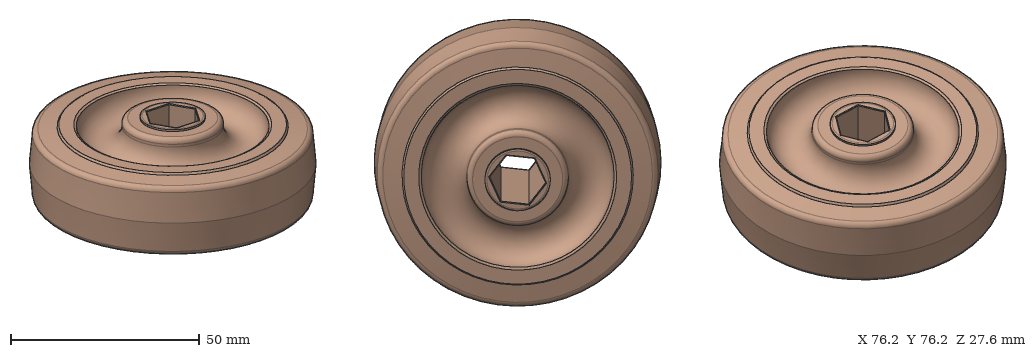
import cadquery as cq

crown_radius = 38.1
tread_edge_radius = 37.3
tread_edge_height = 8.6
shoulder_radius = 35.8
shoulder_height = 10.0
shoulder_bulge = 0.45
side_inner_radius = 30.7
side_inner_height = 10.6

rim_radius = 30.25
rim_height = 11.2
rim_inner_radius = 26.3
dish_radius = 25.6

hub_radius = 13.5
hub_height = 13.2
hub_rounding = 1.5
dish_floor_height = 4.8
dish_arc_radius = (dish_radius - hub_radius) / 2
dish_middle_radius = (dish_radius + hub_radius) / 2
dish_arc_height = dish_floor_height + dish_arc_radius

bushing_radius = 8.7
bushing_height = 13.8
bushing_bevel_width = 0.5
bushing_bevel_depth = 0.1
hex_chamfer = 0.2
hex_across_flats = 12.95
hex_across_corners = hex_across_flats / 0.75 ** 0.5


def wheel_half():
    """Upper half of the solid wheel, including hub and side dish."""
    shoulder_middle = (tread_edge_radius - shoulder_bulge, shoulder_height - shoulder_bulge)
    profile = (
        cq.Workplane("XZ")
        .lineTo(crown_radius, 0)
        .lineTo(tread_edge_radius, tread_edge_height)
        .threePointArc(shoulder_middle, (shoulder_radius, shoulder_height))
        .lineTo(side_inner_radius, side_inner_height)
        .lineTo(rim_radius, rim_height)
        .lineTo(rim_inner_radius, rim_height)
        .lineTo(dish_radius, dish_arc_height)
        .threePointArc((dish_middle_radius, dish_floor_height), (hub_radius, dish_arc_height))
        .lineTo(hub_radius, hub_height - hub_rounding)
        .radiusArc((hub_radius - hub_rounding, hub_height), -hub_rounding)
        .lineTo(0, hub_height)
        .close()
    )
    return profile.revolve(360, (0, 0, 0), (0, 1, 0))


def bushing():
    """Full-width bushing with a shallow bevel around each end face."""
    return (
        cq.Workplane("XY")
        .circle(bushing_radius)
        .extrude(bushing_height, both=True)
        .faces("<Z or >Z")
        .chamfer(bushing_bevel_depth, bushing_bevel_width)
    )


def hex_bore_half():
    """Upper half of the hexagonal bore, with a chamfered mouth."""
    bore = cq.Workplane("XY").polygon(6, hex_across_corners).extrude(bushing_height)
    mouth_across_corners = hex_across_corners * (1 + 2 * hex_chamfer / hex_across_flats)
    mouth = (
        cq.Workplane("XY", origin=(0, 0, bushing_height - hex_chamfer))
        .polygon(6, hex_across_corners)
        .workplane(offset=hex_chamfer)
        .polygon(6, mouth_across_corners)
        .loft(ruled=True)
    )
    return bore.union(mouth)


def mirrored_pair(upper_half):
    return upper_half.union(upper_half.mirror("XY"))


wheel = mirrored_pair(wheel_half())
result = wheel.union(bushing()).cut(mirrored_pair(hex_bore_half()))